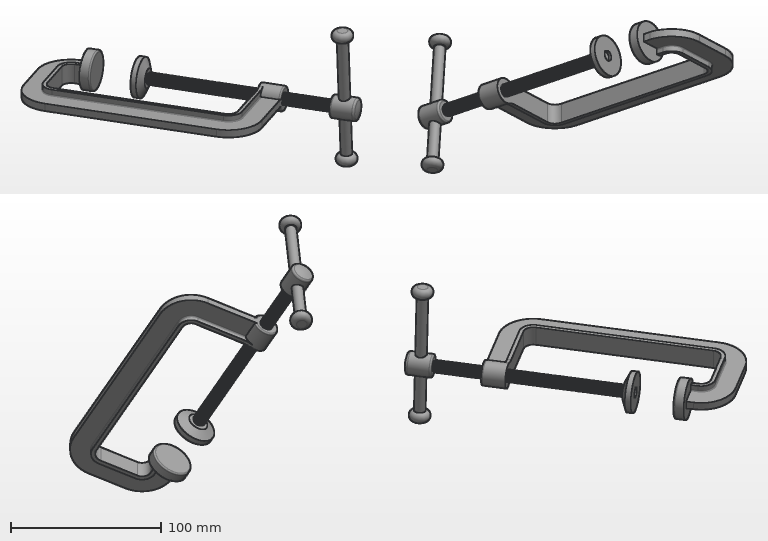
import cadquery as cq
import math


frame_width = 168.9
web_depth = 14.0
web_thickness = 5.5
flange_depth = 2.9
flange_thickness = 14.0
flange_root_fillet = 0.5
frame_top = web_depth / 2
frame_height = 74.9
frame_bottom = frame_top - frame_height
corner_radius = 23.5
rail_depth = web_depth + flange_depth

face_diameter = 28.2
face_radius = face_diameter / 2
anvil_start = 28.5
anvil_length = 7.3
rim_fillet = 1.0

collar_diameter = 17.5
collar_radius = collar_diameter / 2
collar_blend_radius = 15.5
collar_start = frame_width - rail_depth

thread_diameter = 8.7
thread_radius = thread_diameter / 2
thread_root_radius = 3.5
thread_start = 72.9
thread_length = 129.5
thread_turns = 83
thread_pitch = thread_length / thread_turns
thread_crest_width = 0.7
thread_root_width = 0.5
head_start = 203.0
head_end = 222.2
head_diameter = 16.2
head_radius = head_diameter / 2
dome_height = 1.5
head_front_fillet = 1.3
head_dome_fillet = 1.8

pad_start = 64.7
pad_rim_length = 4.0
pad_length = 7.5
pad_back_radius = 6.9
tip_recess = 2.0

handle_x = 211.8
handle_tilt = 5.0
bar_radius = 4.0
knob_height = 7.8
knob_edge_radius = knob_height / 2
knob_flat_radius = 3.5
bar_top = 51.0
bar_bottom = -34.7


def x_cylinder(start, length, radius):
    """Cylinder on the screw axis."""
    return cq.Workplane("YZ", origin=(start, 0, 0)).circle(radius).extrude(length)


def revolve_about_screw_axis(profile):
    return profile.close().revolve(360, (0, 0, 0), (1, 0, 0))


def c_band(offset, depth, thickness):
    """C-shaped band whose outer edge lies the given distance inside the frame outline."""
    left = offset
    right = frame_width - offset
    top = frame_top - offset
    bottom = frame_bottom + offset
    outer_radius = corner_radius - offset
    inner_radius = outer_radius - depth
    diagonal = math.sqrt(0.5)
    arc_left = corner_radius
    arc_right = frame_width - corner_radius
    arc_top = frame_top - corner_radius
    arc_bottom = frame_bottom + corner_radius

    def corner(center_x, center_y, side_x, side_y, radius):
        return (center_x + side_x * radius * diagonal, center_y + side_y * radius * diagonal)

    return (
        cq.Workplane("XY", origin=(0, 0, -thickness / 2))
        .moveTo(anvil_start, top)
        .lineTo(arc_left, top)
        .threePointArc(corner(arc_left, arc_top, -1, 1, outer_radius), (left, arc_top))
        .lineTo(left, arc_bottom)
        .threePointArc(corner(arc_left, arc_bottom, -1, -1, outer_radius), (arc_left, bottom))
        .lineTo(arc_right, bottom)
        .threePointArc(corner(arc_right, arc_bottom, 1, -1, outer_radius), (right, arc_bottom))
        .lineTo(right, 0)
        .lineTo(right - depth, 0)
        .lineTo(right - depth, arc_bottom)
        .threePointArc(
            corner(arc_right, arc_bottom, 1, -1, inner_radius), (arc_right, bottom + depth)
        )
        .lineTo(arc_left, bottom + depth)
        .threePointArc(
            corner(arc_left, arc_bottom, -1, -1, inner_radius), (left + depth, arc_bottom)
        )
        .lineTo(left + depth, arc_top)
        .threePointArc(corner(arc_left, arc_top, -1, 1, inner_radius), (arc_left, top - depth))
        .lineTo(anvil_start, top - depth)
        .close()
        .extrude(thickness)
    )


def make_flange_blend():
    """Concave flare that joins the flange faces to the round collar."""
    half_flange = flange_thickness / 2
    center_distance = collar_radius + collar_blend_radius
    center_z = half_flange + collar_blend_radius
    flange_y = -math.sqrt(center_distance**2 - center_z**2)
    collar_y = flange_y * collar_radius / center_distance
    collar_z = center_z * collar_radius / center_distance
    middle_angle = (math.pi / 2 + math.atan2(center_z, -flange_y)) / 2
    middle_y = flange_y + collar_blend_radius * math.cos(middle_angle)
    middle_z = center_z - collar_blend_radius * math.sin(middle_angle)
    return (
        cq.Workplane("YZ", origin=(collar_start, 0, 0))
        .moveTo(flange_y, half_flange)
        .threePointArc((middle_y, middle_z), (collar_y, collar_z))
        .lineTo(collar_y, -collar_z)
        .threePointArc((middle_y, -middle_z), (flange_y, -half_flange))
        .close()
        .extrude(flange_depth)
    )


def flange_root_edges():
    """Selects the edges where the flange stands up from both faces of the web."""
    margin = 0.2
    reach = web_depth - margin
    half_height = web_thickness / 2 + margin
    return cq.selectors.BoxSelector(
        (reach, frame_bottom + reach, -half_height),
        (frame_width - reach, frame_top - reach, half_height),
    )


def make_frame():
    web = c_band(0, rail_depth, web_thickness)
    flange = c_band(web_depth, flange_depth, flange_thickness)
    anvil = x_cylinder(anvil_start, anvil_length, face_radius).faces(">X").edges().fillet(rim_fillet)
    collar = x_cylinder(collar_start, rail_depth, collar_radius).faces(">X").edges().fillet(rim_fillet)
    screw_bore = x_cylinder(collar_start, rail_depth, thread_radius)
    rails = web.union(flange).edges(flange_root_edges()).fillet(flange_root_fillet)
    body = rails.union(make_flange_blend())
    return body.union(anvil).union(collar).cut(screw_bore)


def make_screw():
    """Tip, thread rings and domed head in one piece, cross-drilled for the handle bar."""
    thread_flank_width = (thread_pitch - thread_crest_width - thread_root_width) / 2
    profile = cq.Workplane("XY").moveTo(pad_start + tip_recess, 0)
    profile = profile.lineTo(pad_start + tip_recess, thread_root_radius)
    profile = profile.lineTo(thread_start, thread_root_radius)
    for turn in range(thread_turns):
        root = thread_start + turn * thread_pitch
        profile = profile.lineTo(root + thread_flank_width, thread_radius)
        profile = profile.lineTo(root + thread_flank_width + thread_crest_width, thread_radius)
        profile = profile.lineTo(root + thread_pitch - thread_root_width, thread_root_radius)
        profile = profile.lineTo(root + thread_pitch, thread_root_radius)
    head_middle = (head_start + head_end) / 2
    profile = profile.lineTo(head_middle, thread_root_radius).lineTo(head_middle, 0)
    return revolve_about_screw_axis(profile).union(make_screw_head()).cut(make_bar())


def make_screw_head():
    dome_radius = (head_radius**2 + dome_height**2) / (2 * dome_height)
    middle_angle = math.asin(head_radius / dome_radius) / 2
    dome_middle = (
        head_end - dome_radius * (1 - math.cos(middle_angle)),
        dome_radius * math.sin(middle_angle),
    )
    profile = (
        cq.Workplane("XY")
        .moveTo(head_start, 0)
        .lineTo(head_start, head_radius)
        .lineTo(head_end - dome_height, head_radius)
        .threePointArc(dome_middle, (head_end, 0))
    )
    head = revolve_about_screw_axis(profile)
    head = head.faces("<X").edges().fillet(head_front_fillet)
    rim_x = head_end - dome_height
    margin = 0.2
    reach = head_radius + margin
    dome_rim = cq.selectors.BoxSelector(
        (rim_x - margin, -reach, -reach), (rim_x + margin, reach, reach)
    )
    return head.edges(dome_rim).fillet(head_dome_fillet)


def make_pad():
    profile = (
        cq.Workplane("XY")
        .moveTo(pad_start, thread_root_radius)
        .lineTo(pad_start, face_radius)
        .lineTo(pad_start + pad_rim_length, face_radius)
        .lineTo(pad_start + pad_length, pad_back_radius)
        .lineTo(pad_start + pad_length, thread_root_radius)
    )
    return revolve_about_screw_axis(profile)


def place_on_handle(body):
    """Tilt a body built along Z so that it lies on the handle axis."""
    return body.rotate((0, 0, 0), (1, 0, 0), handle_tilt).translate((handle_x, 0, 0))


def make_bar():
    bar = cq.Workplane("XY", origin=(0, 0, bar_bottom)).circle(bar_radius).extrude(bar_top - bar_bottom)
    return place_on_handle(bar)


def make_knob(base):
    """Flat-ended knob with a fully rounded edge, starting at the given height along the bar."""
    knob = (
        cq.Workplane("XZ")
        .moveTo(0, base)
        .lineTo(knob_flat_radius, base)
        .threePointArc(
            (knob_flat_radius + knob_edge_radius, base + knob_edge_radius),
            (knob_flat_radius, base + knob_height),
        )
        .lineTo(0, base + knob_height)
        .close()
        .revolve(360, (0, 0, 0), (0, 1, 0))
    )
    return place_on_handle(knob)


frame = make_frame()
screw = make_screw()
pad = make_pad()
handle = make_bar().union(make_knob(bar_top))
handle_cap = make_knob(bar_bottom - knob_height)

result = cq.Compound.makeCompound(
    [frame.val(), screw.val(), pad.val(), handle.val(), handle_cap.val()]
)